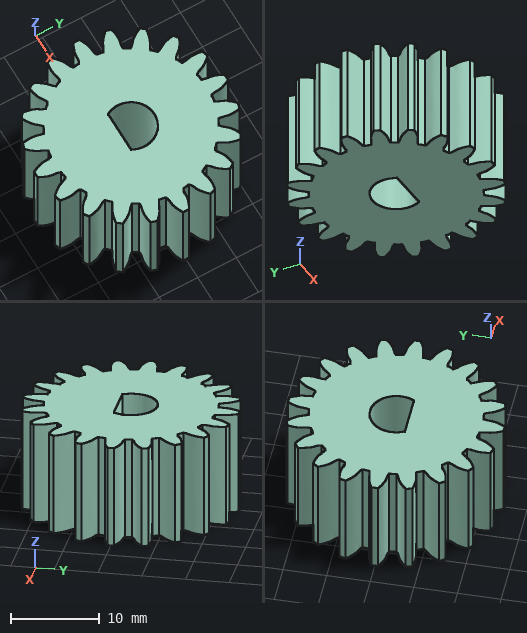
import cadquery as cq
import math

tooth_count = 20
outer_diameter = 24.75
thickness = 12.0
pressure_angle = math.radians(20)
bore_radius = 3.0
bore_flat_offset = 1.5
root_half_angle = math.radians(6.65)
involute_points = 6

addendum = 1.0
dedendum = 1.25
module = outer_diameter / (tooth_count + 2 * addendum)
outer_radius = outer_diameter / 2
pitch_radius = module * tooth_count / 2
root_radius = pitch_radius - dedendum * module
base_radius = pitch_radius * math.cos(pressure_angle)
tooth_pitch_angle = 2 * math.pi / tooth_count


def polar(radius, angle):
    return (radius * math.cos(angle), radius * math.sin(angle))


def involute(radius):
    """Polar angle of the base-circle involute at the given radius."""
    roll = math.sqrt(max((radius / base_radius) ** 2 - 1, 0.0))
    return roll - math.atan(roll)


def half_tooth_angle(radius):
    """Angle from the tooth centre line to its flank at the given radius."""
    return tooth_pitch_angle / 4 + involute(pitch_radius) - involute(radius)


def flank_profile():
    """Radius and half angle along a flank: foot at the root circle, then the involute to the tip."""
    step = (outer_radius - base_radius) / (involute_points - 1)
    radii = [base_radius + i * step for i in range(involute_points)]
    return [(root_radius, root_half_angle)] + [(r, half_tooth_angle(r)) for r in radii]


def make_gear_blank():
    profile = flank_profile()
    outline = cq.Workplane("XY").moveTo(*polar(root_radius, -root_half_angle))
    for tooth in range(tooth_count):
        centre = tooth * tooth_pitch_angle
        rising = [polar(r, centre - half) for r, half in profile]
        falling = [polar(r, centre + half) for r, half in reversed(profile)]
        gap_centre = centre + tooth_pitch_angle / 2
        next_foot = centre + tooth_pitch_angle - root_half_angle
        outline = outline.spline(rising[1:], includeCurrent=True)
        outline = outline.threePointArc(polar(outer_radius, centre), falling[0])
        outline = outline.spline(falling[1:], includeCurrent=True)
        outline = outline.threePointArc(polar(root_radius, gap_centre), polar(root_radius, next_foot))
    return outline.close().extrude(thickness)


def make_d_bore():
    flat_half_width = math.sqrt(bore_radius**2 - bore_flat_offset**2)
    return (
        cq.Workplane("XY")
        .moveTo(-flat_half_width, -bore_flat_offset)
        .threePointArc((0, bore_radius), (flat_half_width, -bore_flat_offset))
        .close()
        .extrude(thickness)
    )


result = make_gear_blank().cut(make_d_bore())